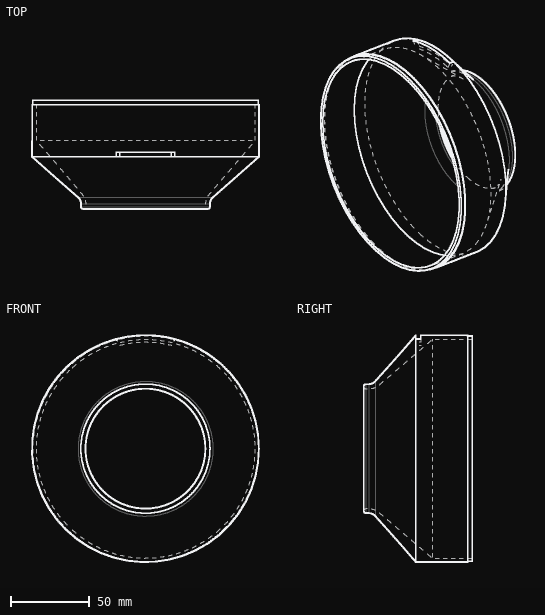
import cadquery as cq
import math

length = 69.0
body_radius = 72.1
bore_radius = 139.0 / 2
neck_radius = 82.0 / 2
neck_bore_radius = 76.0 / 2
body_length = 35.9
neck_length = 5.8
neck_fillet = 5.3
inner_neck_length = 6.8
inner_fillet = 10.1
bore_length = 25.5
rear_step_length = 3.0
rear_step_depth = 0.5

slot_width = 3.0
slot_outer_half = 18.6
slot_floor_half = 16.5
slot_floor_radius = 67.8
slot_clearance = 1.5

neck_wall = neck_radius - neck_bore_radius
tip_radius = neck_wall / 2
cone_start = -body_length
tip = -length
tip_round_start = tip + tip_radius
neck_corner = tip + neck_length
cone_angle = math.atan2(body_radius - neck_radius, cone_start - neck_corner)
inner_corner = tip + inner_neck_length
inner_cone_angle = math.atan2(bore_radius - neck_bore_radius, -bore_length - inner_corner)


def fillet_points(radius, corner, fillet, angle):
    """Start, middle and end of the arc that blends a cone of the given half angle into a cylinder."""
    centre_radius = radius + fillet
    centre_y = corner - fillet * math.tan(angle / 2)
    arc_angles = (angle, angle / 2, 0)
    return [(centre_radius - fillet * math.cos(a), centre_y + fillet * math.sin(a)) for a in arc_angles]


def turned_shell():
    """Body, cone and rounded neck in one revolved wall."""
    outer_start, outer_mid, outer_end = fillet_points(neck_radius, neck_corner, neck_fillet, cone_angle)
    inner_start, inner_mid, inner_end = fillet_points(
        neck_bore_radius, inner_corner, inner_fillet, inner_cone_angle
    )
    profile = (
        cq.Workplane("XY")
        .moveTo(bore_radius, 0)
        .lineTo(body_radius - rear_step_depth, 0)
        .lineTo(body_radius - rear_step_depth, -rear_step_length)
        .lineTo(body_radius, -rear_step_length)
        .lineTo(body_radius, cone_start)
        .lineTo(*outer_start)
        .threePointArc(outer_mid, outer_end)
        .lineTo(neck_radius, tip_round_start)
        .threePointArc((neck_radius - tip_radius, tip), (neck_bore_radius, tip_round_start))
        .lineTo(*inner_end)
        .threePointArc(inner_mid, inner_start)
        .lineTo(bore_radius, -bore_length)
        .close()
    )
    return profile.revolve(360, (0, 0, 0), (0, 1, 0))


def top_slot():
    """Blind slot in the top of the body, with a round floor and ends that lean inward."""
    outer_z = math.sqrt(body_radius**2 - slot_outer_half**2)
    floor_z = math.sqrt(slot_floor_radius**2 - slot_floor_half**2)
    lean = (slot_outer_half - slot_floor_half) / (outer_z - floor_z)
    top_z = body_radius + slot_clearance
    top_half = slot_outer_half + lean * (top_z - outer_z)
    return (
        cq.Workplane("XZ", origin=(0, cone_start + slot_width, 0))
        .moveTo(-top_half, top_z)
        .lineTo(-slot_floor_half, floor_z)
        .threePointArc((0, slot_floor_radius), (slot_floor_half, floor_z))
        .lineTo(top_half, top_z)
        .close()
        .extrude(slot_width)
    )


result = turned_shell().cut(top_slot())